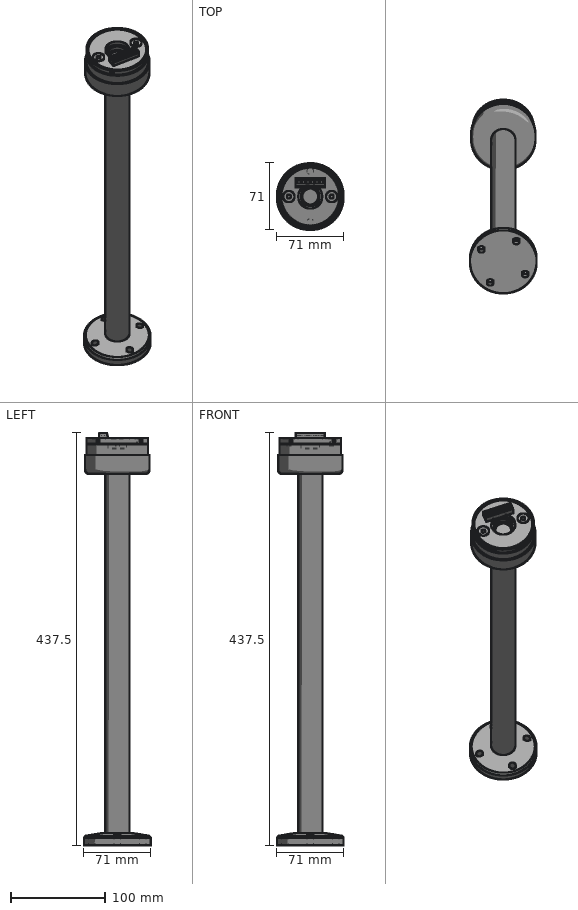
import cadquery as cq
import math

overall_height = 437.5
cup_bottom_z = 393.8
insert_bottom_z = 414.0
insert_top_z = 432.0

pole_diameter = 26.0
foot_diameter = 71.0
foot_edge_height = 7.8
foot_shoulder_radius = 33.5
foot_shoulder_height = 10.2
hub_diameter = 31.5
hub_height = 13.2
foot_hole_count = 4
foot_hole_diameter = 7.0
foot_hole_circle_diameter = 54.0

cup_diameter = 68.5
cup_fillet = 4.5

insert_diameter = 65.5
rim_inner_diameter = 61.5
rim_lip_height = 0.5
groove_bottom_z = 424.8
groove_width = 1.2
groove_depth = 0.5
dimple_angles = (51, 141, 231, 321)
dimple_diameter = 4.0
dimple_depth = 0.6
dimple_z = 429.5

recess_steps = ((25.5, 5.0), (20.0, 10.0), (17.0, 11.0))

screw_spacing = 45.4
screw_seat_diameter = 12.0
screw_seat_depth = 0.5
screw_hole_diameter = 4.2
screw_hole_depth = 8.0

block_length = 31.0
block_front_y = 11.0
block_foot_y = 9.6
block_back_y = 19.6
block_back_chamfer = 1.0
socket_count = 6
socket_pitch = 4.8
socket_length = 3.2
socket_width = 3.2
socket_depth = 3.0


def cylinder(diameter, bottom_z, height):
    return cq.Workplane("XY").workplane(offset=bottom_z).circle(diameter / 2).extrude(height)


def make_pole():
    """Pole with a domed foot flange and four mounting holes."""
    foot_radius = foot_diameter / 2
    foot = (
        cq.Workplane("XZ")
        .moveTo(0, 0)
        .lineTo(foot_radius, 0)
        .lineTo(foot_radius, foot_edge_height)
        .lineTo(foot_shoulder_radius, foot_shoulder_height)
        .lineTo(hub_diameter / 2, hub_height)
        .lineTo(0, hub_height)
        .close()
        .revolve(360, (0, 0, 0), (0, 1, 0))
    )
    holes = (
        cq.Workplane("XY")
        .polarArray(foot_hole_circle_diameter / 2, 0, 360, foot_hole_count)
        .circle(foot_hole_diameter / 2)
        .extrude(hub_height)
    )
    pole = cylinder(pole_diameter, 0, cup_bottom_z)
    return foot.cut(holes).union(pole)


def make_cup():
    """Cup at the top of the pole, rounded at its lower edge."""
    cup = cylinder(cup_diameter, cup_bottom_z, insert_bottom_z - cup_bottom_z)
    return cup.faces("<Z").edges().fillet(cup_fillet)


def cut_groove(body):
    """Narrow groove around the outside of the insert."""
    outer = cylinder(insert_diameter, groove_bottom_z, groove_width)
    core = cylinder(insert_diameter - 2 * groove_depth, groove_bottom_z, groove_width)
    return body.cut(outer.cut(core))


def cut_dimples(body):
    """Shallow round dimples around the outside of the insert."""
    floor_radius = insert_diameter / 2 - dimple_depth
    for angle in dimple_angles:
        direction = cq.Vector(math.cos(math.radians(angle)), math.sin(math.radians(angle)), 0)
        start = direction * floor_radius + cq.Vector(0, 0, dimple_z)
        dimple = cq.Solid.makeCylinder(dimple_diameter / 2, 2 * dimple_depth, start, direction)
        body = body.cut(cq.Workplane(dimple))
    return body


def cut_top_recesses(body, floor_z):
    """Stepped recess in the centre and a screw seat on each side of it."""
    for diameter, depth in recess_steps:
        body = body.cut(cylinder(diameter, floor_z - depth, depth))
    for screw_x in (-screw_spacing / 2, screw_spacing / 2):
        seat = cylinder(screw_seat_diameter, floor_z - screw_seat_depth, screw_seat_depth)
        hole = cylinder(screw_hole_diameter, floor_z - screw_hole_depth, screw_hole_depth)
        body = body.cut(seat.union(hole).translate((screw_x, 0, 0)))
    return body


def make_terminal_block(floor_z):
    """Block with a sloped front and a row of sockets in its top."""
    block = (
        cq.Workplane("YZ")
        .moveTo(block_foot_y, floor_z)
        .lineTo(block_front_y, overall_height)
        .lineTo(block_back_y - block_back_chamfer, overall_height)
        .lineTo(block_back_y, overall_height - block_back_chamfer)
        .lineTo(block_back_y, floor_z)
        .close()
        .extrude(block_length / 2, both=True)
    )
    sockets = (
        cq.Workplane("XY")
        .workplane(offset=overall_height - socket_depth)
        .center(0, (block_front_y + block_back_y) / 2)
        .rarray(socket_pitch, 1, socket_count, 1)
        .rect(socket_length, socket_width)
        .extrude(socket_depth)
    )
    return block.cut(sockets)


def make_insert():
    """Connection insert seated on the cup, carrying the terminal block."""
    floor_z = insert_top_z - rim_lip_height
    body = cylinder(insert_diameter, insert_bottom_z, insert_top_z - insert_bottom_z)
    body = body.cut(cylinder(rim_inner_diameter, floor_z, rim_lip_height))
    body = cut_groove(body)
    body = cut_dimples(body)
    body = cut_top_recesses(body, floor_z)
    return body.union(make_terminal_block(floor_z))


pole = make_pole()
cup = make_cup()
insert = make_insert()

result = cq.Compound.makeCompound([pole.val(), cup.val(), insert.val()])